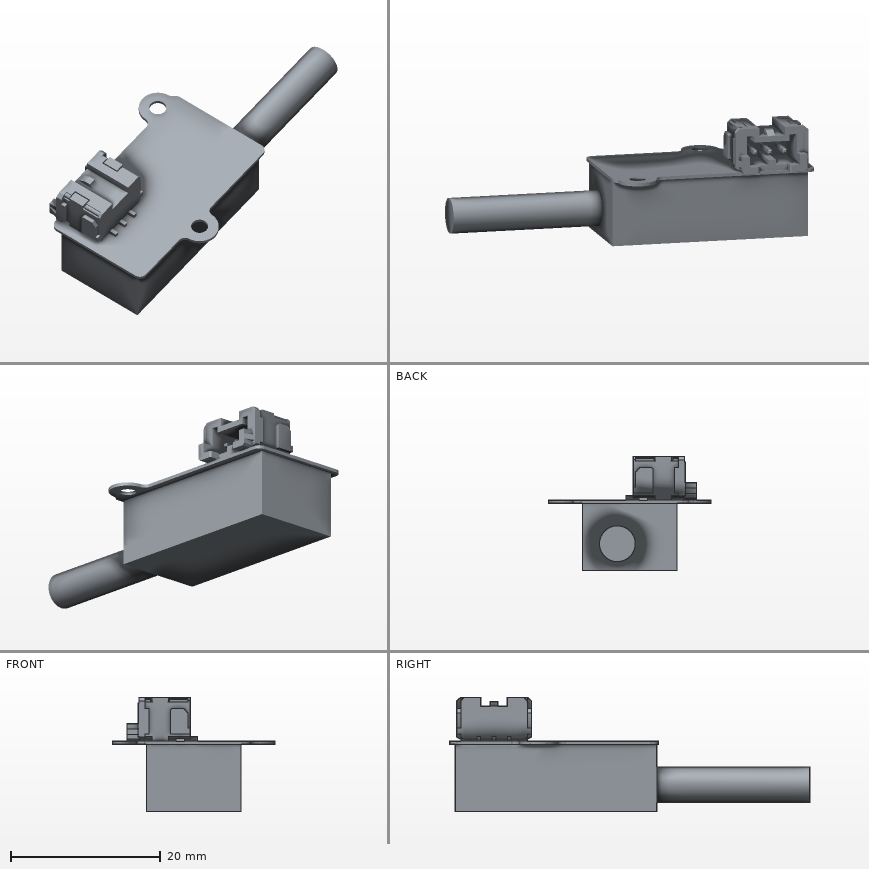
import cadquery as cq
import math


OVERALL_HEIGHT = 15.31


PLATE_WIDTH = 15.2
PLATE_LENGTH = 28.0
PLATE_THICKNESS = 0.45
CORNER_RADIUS = 1.0
EAR_HOLE_DIAMETER = 2.26
EAR_RADIUS = 2.56
EAR_OVERHANG = 0.755
LEFT_EAR_Y = 10.77
RIGHT_EAR_Y = -2.08

BLOCK_WIDTH = 12.7
BLOCK_HEIGHT = 9.0
BLOCK_FRONT_INSET = 0.75
BLOCK_BACK_INSET = 0.25

CABLE_DIAMETER = 4.8
CABLE_REACH = 20.25
CABLE_X = 1.66
CABLE_HEIGHT = 3.6

CONNECTOR_INSET = 0.25
CONNECTOR_X = CONNECTOR_INSET - PLATE_WIDTH / 2
CONNECTOR_Y = -8.04
SHELL_LENGTH = 6.9
SHELL_TOP = OVERALL_HEIGHT - BLOCK_HEIGHT - PLATE_THICKNESS
SHELL_BOTTOM = 0.3
CORE_HALF = 4.46
FLANGE_HALF = 5.02
FLANGE_TOP_CHAMFER = (0.55, 0.48)
FLANGE_BOTTOM_CHAMFER = (0.45, 0.25)
FLANGE_END = 0.8
CHEEK_HALF_INNER = 4.52
CHEEK_TOP = 5.1
CHEEK_PROUD = 0.1
CORE_TOP_CHAMFER = 0.45
CORE_BOTTOM_CHAMFER = 0.3

STEP_START = 0.8
STEP_END = 6.55
UPPER_STEP_HALF = 3.82
UPPER_STEP_Z = 5.72
LOWER_STEP_HALF = 4.28
LOWER_STEP_Z = 5.24

RIB_BOTTOM = 0.93
RIB_TOP = 4.39
FRONT_RIB_END = 1.37
REAR_RIB_START = 4.23
REAR_RIB_END = 6.55
REAR_RIB_FRONT_CHAMFER = 0.25
REAR_RIB_SLOPE_START = 5.98
REAR_RIB_SLOPE_DROP = 0.64
REAR_RIB_TOE_TOP = 1.75

TAB_START = 1.77
TAB_END = 3.95
TAB_INNER = 3.18
TAB_GAP = 0.18

SLOT_HALF = 1.755
SLOT_FLOOR = 4.69

LATCH_HALF = 0.52
LATCH_START = 0.27
LATCH_RAMP_END = 1.37
LATCH_FLAT_END = 2.22
LATCH_END = 2.95
LATCH_TOP = 5.28

CAVITY_HALF = 3.43
CAVITY_FLOOR = 0.73
CAVITY_CEILING = 4.8
CAVITY_DEPTH = 5.7
ROOF_HALF = 2.42
ROOF_UNDERSIDE = 3.93
KEY_RIB_HALF = 0.52
KEY_RIB_TOP = 1.46

ARM_REACH = 1.6
ARM_TOP = 2.33
ARM_FLOOR = 0.9
ARM_INNER = 2.09
ARM_CORNER = 0.2
ARM_BOTTOM_CHAMFER = 0.3
GUSSET_BOTTOM = 0.89
GUSSET_TOP = 1.62
FOOT_HALF = 2.1
FOOT_END = 5.0

PIN_PITCH = 2.04
PIN_SIZE = 0.5
PIN_HEIGHT = 2.33
PIN_TIP_X = 1.0
PIN_TIP_CHAMFER = 0.12
LEAD_START = 6.1
LEAD_END = 7.86
LEAD_THICKNESS = 0.58


def box(x0, x1, y0, y1, z0, z1):
    """Box given by its limits along each axis."""
    return cq.Workplane("XY").box(x1 - x0, y1 - y0, z1 - z0, centered=False).translate((x0, y0, z0))


def prism_along_x(points, x0, x1):
    """Prism with a (y, z) outline running from x0 to x1."""
    return cq.Workplane("YZ").polyline(points).close().extrude(x1 - x0).translate((x0, 0, 0))


def on_both_sides(body):
    """The body together with its mirror image across the connector mid-plane."""
    return body.union(body.mirror("XZ"))


def toward(start, end, distance):
    """Point at a distance from start in the direction of end."""
    span = math.dist(start, end)
    return tuple(a + (b - a) * distance / span for a, b in zip(start, end))


def make_plate():
    half_x = PLATE_WIDTH / 2
    half_y = PLATE_LENGTH / 2
    r = CORNER_RADIUS
    left_ear = (-half_x - EAR_OVERHANG, LEFT_EAR_Y)
    right_ear = (half_x + EAR_OVERHANG, RIGHT_EAR_Y)

    blend_rise = math.sqrt((EAR_RADIUS + r) ** 2 - (r - EAR_OVERHANG) ** 2)
    left_low = (-half_x - r, LEFT_EAR_Y - blend_rise)
    left_high = (-half_x - r, LEFT_EAR_Y + blend_rise)
    right_low = (half_x + r, RIGHT_EAR_Y - blend_rise)
    right_high = (half_x + r, RIGHT_EAR_Y + blend_rise)

    corner_y = half_y - r
    corner_run = math.sqrt((2 * r) ** 2 - (left_high[1] - corner_y) ** 2)
    back_left = (left_high[0] + corner_run, corner_y)

    def arc(outline, centre, radius, through, end):
        return outline.threePointArc(toward(centre, through, radius), end)

    def round_corner(outline, centre, lean_x, lean_y, end):
        through = (centre[0] + lean_x, centre[1] + lean_y)
        return arc(outline, centre, r, through, end)

    outline = cq.Workplane("XY").moveTo(-half_x + r, -half_y).lineTo(half_x - r, -half_y)
    outline = round_corner(outline, (half_x - r, -half_y + r), 1, -1, (half_x, -half_y + r))
    outline = outline.lineTo(half_x, right_low[1])
    outline = round_corner(outline, right_low, -1, 1, toward(right_low, right_ear, r))
    outline = arc(outline, right_ear, EAR_RADIUS, (half_x + EAR_RADIUS, RIGHT_EAR_Y),
                  toward(right_ear, right_high, EAR_RADIUS))
    outline = round_corner(outline, right_high, -1, -1, (half_x, right_high[1]))
    outline = outline.lineTo(half_x, corner_y)
    outline = round_corner(outline, (half_x - r, corner_y), 1, 1, (half_x - r, half_y))
    outline = outline.lineTo(back_left[0], half_y)
    outline = round_corner(outline, back_left, -0.5, 1, toward(back_left, left_high, r))
    outline = round_corner(outline, left_high, 1, -1.5, toward(left_high, left_ear, r))
    outline = arc(outline, left_ear, EAR_RADIUS, (-half_x - EAR_RADIUS, LEFT_EAR_Y),
                  toward(left_ear, left_low, EAR_RADIUS))
    outline = round_corner(outline, left_low, 1, 1, (-half_x, left_low[1]))
    outline = outline.lineTo(-half_x, -half_y + r)
    outline = round_corner(outline, (-half_x + r, -half_y + r), -1, -1, (-half_x + r, -half_y))

    holes = (cq.Workplane("XY").pushPoints([left_ear, right_ear])
             .circle(EAR_HOLE_DIAMETER / 2).extrude(-PLATE_THICKNESS))
    return outline.close().extrude(-PLATE_THICKNESS).cut(holes)


BLOCK_FRONT_Y = BLOCK_FRONT_INSET - PLATE_LENGTH / 2
BLOCK_BACK_Y = PLATE_LENGTH / 2 - BLOCK_BACK_INSET
BLOCK_BOTTOM_Z = -PLATE_THICKNESS - BLOCK_HEIGHT


def make_block():
    return box(-BLOCK_WIDTH / 2, BLOCK_WIDTH / 2, BLOCK_FRONT_Y, BLOCK_BACK_Y,
               BLOCK_BOTTOM_Z, -PLATE_THICKNESS)


def make_cable():
    length = CABLE_REACH + BLOCK_BACK_INSET
    return (cq.Workplane("XZ").circle(CABLE_DIAMETER / 2).extrude(-length)
            .translate((CABLE_X, BLOCK_BACK_Y, BLOCK_BOTTOM_Z + CABLE_HEIGHT)))


def symmetric_prism(right_side, x0, x1):
    """Prism whose (y, z) outline is the right side plus its mirror image."""
    left_side = [(-y, z) for y, z in reversed(right_side)]
    return prism_along_x(right_side + left_side, x0, x1)


def front_flange():
    """Flange around the mating face, chamfered at its corners, with proud side strips."""
    top_run, top_drop = FLANGE_TOP_CHAMFER
    bottom_run, bottom_rise = FLANGE_BOTTOM_CHAMFER
    outline = [
        (FLANGE_HALF - bottom_run, SHELL_BOTTOM),
        (FLANGE_HALF, SHELL_BOTTOM + bottom_rise),
        (FLANGE_HALF, SHELL_TOP - top_drop),
        (FLANGE_HALF - top_run, SHELL_TOP),
    ]
    cheek = box(-CHEEK_PROUD, 0, CHEEK_HALF_INNER, FLANGE_HALF, SHELL_BOTTOM + bottom_rise, CHEEK_TOP)
    return symmetric_prism(outline, 0, FLANGE_END).union(on_both_sides(cheek))


def core():
    """Main shell, chamfered along its length and stepped down at the upper side edges."""
    outline = [
        (CORE_HALF - CORE_BOTTOM_CHAMFER, SHELL_BOTTOM),
        (CORE_HALF, SHELL_BOTTOM + CORE_BOTTOM_CHAMFER),
        (CORE_HALF, SHELL_TOP - CORE_TOP_CHAMFER),
        (CORE_HALF - CORE_TOP_CHAMFER, SHELL_TOP),
    ]
    upper_step = box(STEP_START, STEP_END, UPPER_STEP_HALF, CORE_HALF, UPPER_STEP_Z, SHELL_TOP)
    lower_step = box(STEP_START, STEP_END, LOWER_STEP_HALF, CORE_HALF, LOWER_STEP_Z, SHELL_TOP)
    steps = on_both_sides(upper_step.union(lower_step))
    return symmetric_prism(outline, 0, SHELL_LENGTH).cut(steps)


def side_ribs():
    """Ribs on the core sides: a short one behind the flange and a long one at the rear."""
    front = box(FLANGE_END, FRONT_RIB_END, CORE_HALF, FLANGE_HALF, RIB_BOTTOM, RIB_TOP)
    profile = [
        (REAR_RIB_START, RIB_BOTTOM),
        (REAR_RIB_START, RIB_TOP - REAR_RIB_FRONT_CHAMFER),
        (REAR_RIB_START + REAR_RIB_FRONT_CHAMFER, RIB_TOP),
        (REAR_RIB_SLOPE_START, RIB_TOP),
        (REAR_RIB_END, RIB_TOP - REAR_RIB_SLOPE_DROP),
        (REAR_RIB_END, REAR_RIB_TOE_TOP),
        (SHELL_LENGTH, REAR_RIB_TOE_TOP),
        (SHELL_LENGTH, RIB_BOTTOM),
    ]
    rear = (cq.Workplane("XZ").polyline(profile).close()
            .extrude(CORE_HALF - FLANGE_HALF).translate((0, CORE_HALF, 0)))
    return on_both_sides(front.union(rear))


def tab_grooves():
    """Clearance around the folded top of each hold-down tab."""
    return on_both_sides(box(TAB_START - TAB_GAP, TAB_END + TAB_GAP, TAB_INNER - TAB_GAP, CORE_HALF,
                             LOWER_STEP_Z, SHELL_TOP))


def hold_down_tabs():
    """Tabs standing on the plate, flush with the core sides and folded over the top."""
    leg = box(TAB_START, TAB_END, TAB_INNER, CORE_HALF, 0, RIB_BOTTOM)
    fold = box(TAB_START, TAB_END, TAB_INNER, CORE_HALF, LOWER_STEP_Z, SHELL_TOP)
    return on_both_sides(leg.union(fold))


def top_slot():
    """Open slot along the top of the shell."""
    return box(0, SHELL_LENGTH, -SLOT_HALF, SLOT_HALF, SLOT_FLOOR, SHELL_TOP)


def latch():
    """Ramped latch standing in the slot; its hollow back runs out flush with the floor."""
    run = LATCH_END - LATCH_FLAT_END
    rise = LATCH_TOP - SLOT_FLOOR
    back_radius = (run ** 2 + rise ** 2) / (2 * rise)
    back_centre = (LATCH_END, SLOT_FLOOR + back_radius)
    back_middle = toward(back_centre, ((LATCH_FLAT_END + LATCH_END) / 2, SLOT_FLOOR), back_radius)
    return (cq.Workplane("XZ").moveTo(LATCH_START, SLOT_FLOOR)
            .lineTo(LATCH_RAMP_END, LATCH_TOP).lineTo(LATCH_FLAT_END, LATCH_TOP)
            .threePointArc(back_middle, (LATCH_END, SLOT_FLOOR)).close()
            .extrude(LATCH_HALF, both=True))


def cavity():
    """Mating cavity with a lowered ceiling and a key rib on its floor."""
    space = box(0, CAVITY_DEPTH, -CAVITY_HALF, CAVITY_HALF, CAVITY_FLOOR, CAVITY_CEILING)
    roof = box(0, CAVITY_DEPTH, -ROOF_HALF, ROOF_HALF, ROOF_UNDERSIDE, CAVITY_CEILING)
    key_rib = box(0, CAVITY_DEPTH, -KEY_RIB_HALF, KEY_RIB_HALF, CAVITY_FLOOR, KEY_RIB_TOP)
    return space.cut(roof).cut(key_rib)


def guide_arms():
    """L-shaped arms ahead of the mating face, each braced by an outer gusset."""
    wall = box(-ARM_REACH, 0, CAVITY_HALF, CORE_HALF, 0, ARM_TOP)
    wall = wall.edges("|X and >Y and <Z").chamfer(ARM_BOTTOM_CHAMFER)
    floor = box(-ARM_REACH, 0, ARM_INNER, CAVITY_HALF, 0, ARM_FLOOR)
    floor = floor.edges("|Z and <X and <Y").chamfer(ARM_CORNER)
    gusset = (cq.Workplane("XY")
              .polyline([(-ARM_REACH, CORE_HALF), (0, FLANGE_HALF), (0, CORE_HALF)]).close()
              .extrude(GUSSET_TOP - GUSSET_BOTTOM).translate((0, 0, GUSSET_BOTTOM)))
    return on_both_sides(wall.union(floor).union(gusset))


def contact(y):
    """One contact: its pin in the cavity and its solder lead behind the shell."""
    half = PIN_SIZE / 2
    pin = box(PIN_TIP_X, CAVITY_DEPTH, y - half, y + half, PIN_HEIGHT - half, PIN_HEIGHT + half)
    pin = pin.faces("<X").chamfer(PIN_TIP_CHAMFER)
    lead = box(LEAD_START, LEAD_END, y - half, y + half, 0, LEAD_THICKNESS)
    return pin, lead


def make_connector():
    shell = core()
    shell = shell.union(front_flange())
    shell = shell.union(side_ribs())
    shell = shell.cut(tab_grooves()).union(hold_down_tabs())
    shell = shell.cut(cavity()).cut(top_slot()).union(latch())
    shell = shell.union(guide_arms())
    shell = shell.union(box(0, FOOT_END, -FOOT_HALF, FOOT_HALF, 0, SHELL_BOTTOM))
    for index in (-1, 0, 1):
        for piece in contact(index * PIN_PITCH):
            shell = shell.union(piece)
    return shell.translate((CONNECTOR_X, CONNECTOR_Y, 0))


plate = make_plate()
block = make_block()
cable = make_cable()
connector = make_connector()

result = cq.Compound.makeCompound([
    plate.solids().val(),
    block.solids().val(),
    cable.solids().val(),
    connector.solids().val(),
])